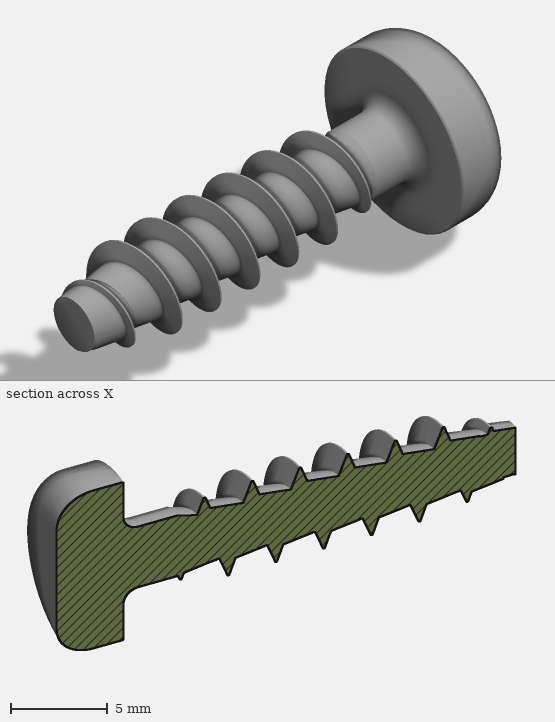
import cadquery as cq
import math


head_radius = 5.4
head_height = 3.79
head_flat_radius = 3.45
head_rim_height = 1.67
head_edge_chamfer = 0.08

shank_radius = 2.08
shank_length = 3.0
neck_fillet = 0.83
length = 22.0

core_radius = 1.69
core_tip_radius = 1.55
transition_slope = 0.3
tip_radius = 1.59
core_slope = 0.15
ridge_radius = 2.01

pitch = 2.68
first_turn = 0.25
last_turn = 8
height_at_turn_zero = 1.18
thread_radius = 3.0
crest_half_width = 0.05
flank_slope = 0.36
run_in_end = 5.3
run_in_slope = 0.294
run_out_start = 18.1
run_out_slope = 0.37
least_tooth_height = 0.02

flank_root_radius = 1.4
buried_radius = 1.1
turn_gap = 0.02
trim_allowance = 0.5
path_steps = 124


def make_head_and_shank():
    """Revolved pan head with a filleted neck and plain shank."""
    dome_depth = head_height - head_rim_height
    dome_width = head_radius - head_flat_radius
    arc_share = math.sqrt(0.5)
    dome_middle = (
        head_flat_radius + dome_width * arc_share,
        -head_rim_height - dome_depth * arc_share,
    )
    neck_middle = (
        shank_radius + neck_fillet * (1 - arc_share),
        neck_fillet * (1 - arc_share),
    )
    return (
        cq.Workplane("XZ")
        .moveTo(0, -head_height)
        .lineTo(head_flat_radius, -head_height)
        .threePointArc(dome_middle, (head_radius, -head_rim_height))
        .lineTo(head_radius, -head_edge_chamfer)
        .lineTo(head_radius - head_edge_chamfer, 0)
        .lineTo(shank_radius + neck_fillet, 0)
        .threePointArc(neck_middle, (shank_radius, neck_fillet))
        .lineTo(shank_radius, shank_length)
        .lineTo(0, shank_length)
        .close()
        .revolve(360, (0, 0, 0), (0, 1, 0))
    )


def make_core():
    """Plain core, overlong at both ends, with the cone that leads down to it from the shank."""
    cone_start = shank_length - trim_allowance
    cone_start_radius = shank_radius + trim_allowance * transition_slope
    cone_end = cone_start + (cone_start_radius - core_radius) / transition_slope
    return (
        cq.Workplane("XZ")
        .moveTo(0, cone_start)
        .lineTo(cone_start_radius, cone_start)
        .lineTo(core_radius, cone_end)
        .lineTo(core_radius, length - pitch)
        .lineTo(core_tip_radius, length + trim_allowance)
        .lineTo(0, length + trim_allowance)
        .close()
        .revolve(360, (0, 0, 0), (0, 1, 0))
    )


def crest_radius(height):
    """Thread crest radius, growing at the run-in and shrinking at the run-out."""
    run_in = run_in_slope * max(0, run_in_end - height)
    run_out = run_out_slope * max(0, height - run_out_start)
    return thread_radius - run_in - run_out


def ridge_radius_at(height, offset):
    """Radius of the sawtooth behind the thread, limited by the cone that ends at the tip radius."""
    tip_cone_radius = tip_radius + core_slope * (length - height - offset)
    return min(ridge_radius - core_slope * offset, tip_cone_radius)


def thread_section(height):
    """Corners (radius, axial offset) of the tooth and its sawtooth ridge where the crest is at height."""
    ridge = ridge_radius_at(height, 0)
    crest = max(crest_radius(height), ridge + least_tooth_height)
    front_root = -crest_half_width - flank_slope * (crest - flank_root_radius)
    back_root = crest_half_width + flank_slope * (crest - ridge)
    widest_root = crest_half_width + flank_slope * (thread_radius - flank_root_radius)
    ridge_end = pitch - widest_root - turn_gap
    return [
        (buried_radius, front_root),
        (flank_root_radius, front_root),
        (crest, -crest_half_width),
        (crest, crest_half_width),
        (ridge_radius_at(height, back_root), back_root),
        (ridge_radius_at(height, ridge_end), ridge_end),
        (buried_radius, ridge_end),
    ]


def make_thread():
    """Solid swept out by the thread section, with one helical face per side of the section."""
    corner_paths = [[] for corner in thread_section(0)]
    for step in range(path_steps + 1):
        turn = first_turn + (last_turn - first_turn) * step / path_steps
        angle = 2 * math.pi * turn
        height = height_at_turn_zero + pitch * turn
        for path, (radius, offset) in zip(corner_paths, thread_section(height)):
            path.append(cq.Vector(radius * math.cos(angle), radius * math.sin(angle), height + offset))

    parameters = list(range(path_steps + 1))
    edges = [cq.Edge.makeSpline(path, parameters=parameters) for path in corner_paths]
    next_edges = edges[1:] + edges[:1]
    faces = [cq.Face.makeRuledSurface(edge, other) for edge, other in zip(edges, next_edges)]
    for end in (0, -1):
        corners = [path[end] for path in corner_paths]
        faces.append(cq.Face.makeFromWires(cq.Wire.makePolygon(corners, close=True)))
    return cq.Workplane(cq.Solid.makeSolid(cq.Shell.makeShell(faces)).fix())


def make_threaded_zone():
    """Space between the end of the shank and the tip."""
    return (
        cq.Workplane("XY", origin=(0, 0, shank_length))
        .circle(head_radius)
        .extrude(length - shank_length)
    )


threaded_shaft = make_core().union(make_thread(), clean=False)
threaded_shaft = threaded_shaft.intersect(make_threaded_zone(), clean=False)
screw = threaded_shaft.union(make_head_and_shank(), clean=False)

result = screw.rotate((0, 0, 0), (1, 0, 0), 90)